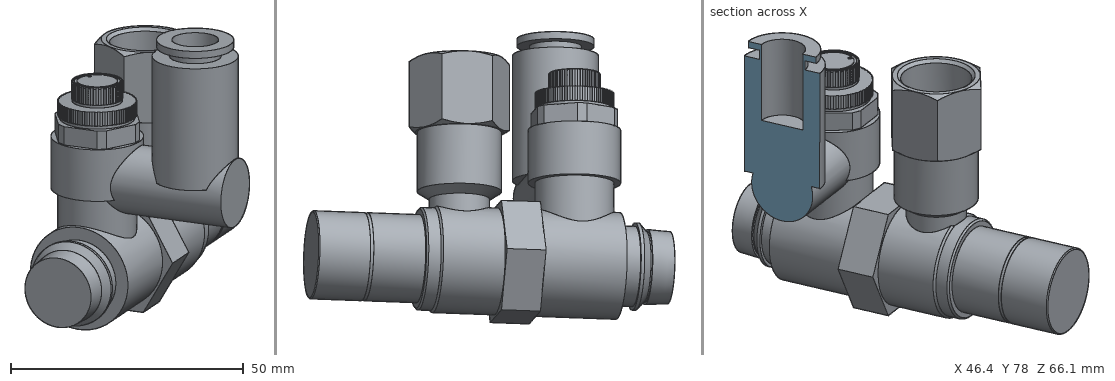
import cadquery as cq
import math


run_length = 78.0
tip_front_radius = 7.8
tip_back_radius = 8.1
tip_length = 4.9
tip_groove_radius = 7.6
tip_groove_end = 5.2
lip_radius = 9.4
lip_start = 6.9
lip_end = 7.65
plug_neck_radius = 8.65
body_start = 11.1
body_end = 51.6
body_radius = 11.5
body_chamfer = 0.45
collar_radius = body_radius - body_chamfer
collar_end = 54.7
collar_chamfer = 0.4
tube_radius = 9.5
tube_chamfer = 0.25
tube_groove_start = 66.0
tube_groove_width = 0.7
tube_groove_depth = 0.1

run_hex_flats = 24.0
run_hex_start = 29.2
run_hex_length = 8.5

port_y = 45.65
port_neck_radius = 6.5
port_neck_top = 13.35
port_barrel_radius = 9.05
port_barrel_bottom = 15.0
port_hex_bottom = 28.0
port_hex_top = 44.0
port_hex_flats = 19.0
port_hex_face_radius = 9.45
port_hex_chamfer_angle = 30.0
port_bore_radius = 7.65
port_mouth_radius = 8.35
port_bore_depth = 8.4
port_drill_point_angle = 118.0

valve_y = 20.55
valve_stem_radius = 8.5
valve_housing_radius = 9.95
valve_housing_bottom = 17.8
valve_housing_top = 29.4
valve_hex_flats = 17.5
valve_hex_corner_flats = 19.0
valve_hex_top = 33.5

ring_neck_radius = 8.1
ring_bottom = 34.25
ring_top = 37.4
ring_radius = 8.5
ring_root_radius = 8.35
ring_teeth = 48

knob_neck_radius = 5.45
knob_bottom = 38.0
knob_top = 41.85
knob_radius = 5.55
knob_root_radius = 5.3
knob_teeth = 30
knob_chamfer = 0.2
dial_outer_radius = 4.95
dial_inner_radius = 4.4
dial_groove_depth = 0.15
pointer_tip_radius = 3.4
pointer_width = 0.6
pointer_direction = 140.0

arm_radius = 7.53
arm_height = 20.78
arm_end = 32.5
fitting_x = 23.08
fitting_radius = 9.26
fitting_bottom = 23.0
fitting_top = 50.45
release_neck_radius = 5.6
release_flange_radius = 8.3
release_flange_bottom = 52.5
release_flange_top = 54.08
fitting_bore_radius = 5.0
fitting_bore_depth = 18.0


def cylinder(radius, bottom, top, x=0.0, y=0.0):
    """Upright cylinder between two heights."""
    return cq.Workplane("XY", origin=(x, y, bottom)).circle(radius).extrude(top - bottom)


def revolved_upright(profile, x=0.0, y=0.0):
    """Turn a closed (radius, height) outline about a vertical axis."""
    return cq.Workplane("XZ").polyline(profile).close().revolve(360, (0, 0), (0, 1)).translate((x, y, 0))


def hexagon_corner_radius(flats):
    return flats / math.sqrt(3)


def toothed_disc(outer_radius, root_radius, teeth, bottom, top, y):
    """Disc with straight-sided teeth, each as wide as the gap beside it."""
    half_tooth = math.pi / (2 * teeth)
    outline = []
    for index in range(teeth):
        angle = 4 * half_tooth * index
        for radius, offset in (
            (root_radius, -half_tooth),
            (outer_radius, -half_tooth),
            (outer_radius, half_tooth),
            (root_radius, half_tooth),
        ):
            outline.append((radius * math.cos(angle + offset), radius * math.sin(angle + offset)))
    return cq.Workplane("XY", origin=(0, y, bottom)).polyline(outline).close().extrude(top - bottom)


def make_main_run():
    """Plug tip, body, collar and tube end turned about Y, plus the wrench hexagon."""
    groove_end = tube_groove_start + tube_groove_width
    groove_radius = tube_radius - tube_groove_depth
    profile = [
        (0, 0),
        (tip_front_radius, 0),
        (tip_back_radius, tip_length),
        (tip_groove_radius, tip_length),
        (tip_groove_radius, tip_groove_end),
        (lip_radius, lip_start),
        (lip_radius, lip_end),
        (plug_neck_radius, lip_end),
        (plug_neck_radius, body_start),
        (body_radius, body_start),
        (body_radius, body_end - body_chamfer),
        (collar_radius, body_end),
        (collar_radius, collar_end - collar_chamfer),
        (collar_radius - collar_chamfer, collar_end),
        (tube_radius, collar_end),
        (tube_radius, tube_groove_start),
        (groove_radius, tube_groove_start),
        (groove_radius, groove_end),
        (tube_radius, groove_end),
        (tube_radius, run_length - tube_chamfer),
        (tube_radius - tube_chamfer, run_length),
        (0, run_length),
    ]
    turned = cq.Workplane("XY").polyline(profile).close().revolve(360, (0, 0), (0, 1))
    hexagon = (
        cq.Workplane("XZ", origin=(0, run_hex_start, 0))
        .polygon(6, 2 * hexagon_corner_radius(run_hex_flats))
        .extrude(-run_hex_length)
    )
    return turned.union(hexagon)


def make_port_hexagon():
    """Hexagon with corners along Y, chamfered at both ends."""
    corner_radius = hexagon_corner_radius(port_hex_flats)
    chamfer_slope = math.tan(math.radians(port_hex_chamfer_angle))
    chamfer_height = (corner_radius - port_hex_face_radius) * chamfer_slope
    hexagon = (
        cq.Workplane("XY", origin=(0, port_y, port_hex_bottom))
        .transformed(rotate=(0, 0, 90))
        .polygon(6, 2 * corner_radius)
        .extrude(port_hex_top - port_hex_bottom)
    )
    envelope = [
        (0, port_hex_bottom),
        (port_hex_face_radius, port_hex_bottom),
        (corner_radius, port_hex_bottom + chamfer_height),
        (corner_radius, port_hex_top - chamfer_height),
        (port_hex_face_radius, port_hex_top),
        (0, port_hex_top),
    ]
    return hexagon.intersect(revolved_upright(envelope, y=port_y))


def make_port():
    """Female port: neck, flared barrel and hexagon, with a drilled and countersunk bore."""
    barrel_profile = [
        (0, 0),
        (port_neck_radius, 0),
        (port_neck_radius, port_neck_top),
        (port_barrel_radius, port_barrel_bottom),
        (port_barrel_radius, port_hex_bottom),
        (0, port_hex_bottom),
    ]
    bore_bottom = port_hex_top - port_bore_depth
    point_depth = port_bore_radius / math.tan(math.radians(port_drill_point_angle / 2))
    bore_profile = [
        (0, bore_bottom - point_depth),
        (port_bore_radius, bore_bottom),
        (port_bore_radius, port_hex_top - (port_mouth_radius - port_bore_radius)),
        (port_mouth_radius, port_hex_top),
        (0, port_hex_top),
    ]
    barrel = revolved_upright(barrel_profile, y=port_y)
    return barrel.union(make_port_hexagon()).cut(revolved_upright(bore_profile, y=port_y))


def valve_hexagon(flats, turn):
    """Hexagonal block on top of the valve housing, turned about its axis in degrees."""
    return (
        cq.Workplane("XY", origin=(0, valve_y, valve_housing_top))
        .transformed(rotate=(0, 0, turn))
        .polygon(6, 2 * hexagon_corner_radius(flats))
        .extrude(valve_hex_top - valve_housing_top)
    )


def make_valve_body():
    """Stem, round housing and a hexagon whose corners are cut flat."""
    stem = cylinder(valve_stem_radius, 0, valve_housing_bottom, y=valve_y)
    housing = cylinder(valve_housing_radius, valve_housing_bottom, valve_housing_top, y=valve_y)
    corner_cut = valve_hexagon(valve_hex_corner_flats, 30)
    hexagon = valve_hexagon(valve_hex_flats, 0).intersect(corner_cut)
    return stem.union(housing).union(hexagon)


def make_lock_ring():
    """Knurled ring on a short neck."""
    neck = cylinder(ring_neck_radius, valve_hex_top, ring_bottom, y=valve_y)
    knurl = toothed_disc(ring_radius, ring_root_radius, ring_teeth, ring_bottom, ring_top, valve_y)
    return neck.union(knurl)


def make_knob():
    """Knurled knob with an engraved dial circle and pointer on top."""
    neck = cylinder(knob_neck_radius, ring_top, knob_bottom, y=valve_y)
    knurl = toothed_disc(knob_radius, knob_root_radius, knob_teeth, knob_bottom, knob_top, valve_y)
    blank = cylinder(knob_radius, knob_bottom, knob_top, y=valve_y)
    chamfered_blank = blank.faces(">Z").chamfer(knob_chamfer)
    groove_bottom = knob_top - dial_groove_depth
    dial_groove = cylinder(dial_outer_radius, groove_bottom, knob_top, y=valve_y).cut(
        cylinder(dial_inner_radius, groove_bottom, knob_top, y=valve_y)
    )
    pointer = (
        cq.Workplane("XY", origin=(0, valve_y, groove_bottom))
        .transformed(rotate=(0, 0, pointer_direction))
        .center((pointer_tip_radius + dial_outer_radius) / 2, 0)
        .rect(dial_outer_radius - pointer_tip_radius, pointer_width)
        .extrude(dial_groove_depth)
    )
    return neck.union(knurl.intersect(chamfered_blank)).cut(dial_groove).cut(pointer)


def make_side_arm():
    """Horizontal arm carrying the upright tube fitting and its release collar."""
    arm = cq.Workplane("YZ", origin=(0, valve_y, arm_height)).circle(arm_radius).extrude(arm_end)
    fitting = cylinder(fitting_radius, fitting_bottom, fitting_top, fitting_x, valve_y)
    neck = cylinder(release_neck_radius, fitting_top, release_flange_bottom, fitting_x, valve_y)
    flange = cylinder(
        release_flange_radius, release_flange_bottom, release_flange_top, fitting_x, valve_y
    )
    bore_bottom = release_flange_top - fitting_bore_depth
    bore = cylinder(fitting_bore_radius, bore_bottom, release_flange_top, fitting_x, valve_y)
    return arm.union(fitting).union(neck).union(flange).cut(bore)


result = (
    make_main_run()
    .union(make_port())
    .union(make_valve_body())
    .union(make_side_arm())
    .union(make_lock_ring())
    .union(make_knob())
)